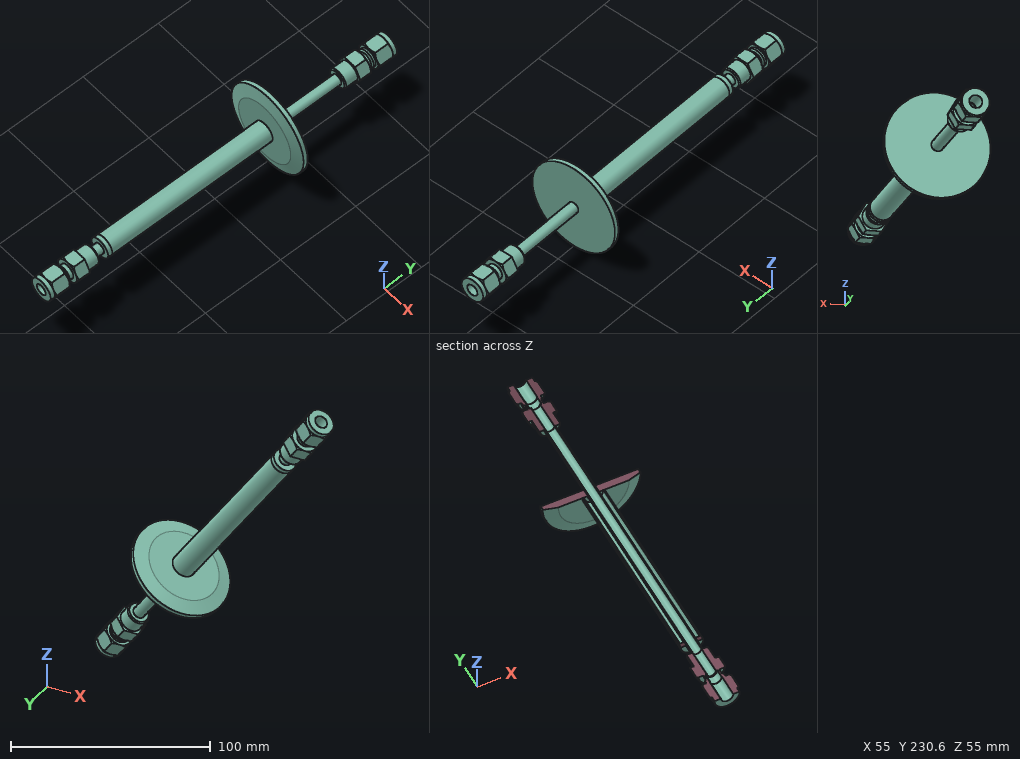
import cadquery as cq
import math

overall_length = 230.6

tube_diameter = 6.5
bore_diameter = 4.8

hex_across_flats = 14.3
collar_length = 2.8
nut_hex_length = 10.0
thread_length = 1.4
thread_taper_length = 1.0
neck_length = 2.5
body_hex_length = 7.8
weld_end_length = 8.3
weld_end_chamfer = 0.7
thread_diameter = 11.0
neck_diameter = 9.0
weld_end_diameter = 12.2
nut_bore_diameter = 6.7
hex_chamfer_angle = 35.0

flange_diameter = 55.0
flange_face_diameter = 39.7
flange_rim_thickness = 2.8
flange_thickness = 4.8
flange_back_inset = 77.3

sleeve_diameter = 12.7
sleeve_bore_diameter = 10.8
cap_thickness = 2.8
cap_inset = 39.0

open_end_y = -overall_length / 2
nut_hex_y = open_end_y + collar_length
nut_end_y = nut_hex_y + nut_hex_length
thread_end_y = nut_end_y + thread_length
neck_y = thread_end_y + thread_taper_length
body_hex_y = neck_y + neck_length
body_hex_end_y = body_hex_y + body_hex_length
weld_end_y = body_hex_end_y + weld_end_length
flange_back_y = overall_length / 2 - flange_back_inset
flange_front_y = flange_back_y - flange_thickness
cap_front_y = open_end_y + cap_inset
sleeve_front_y = cap_front_y + cap_thickness


def cylinder(diameter, start_y, end_y):
    """Solid cylinder on the Y axis."""
    plane = cq.Workplane("XZ", origin=(0, end_y, 0))
    return plane.circle(diameter / 2).extrude(end_y - start_y)


def ring(outer_diameter, inner_diameter, start_y, end_y):
    """Hollow cylinder on the Y axis."""
    return cylinder(outer_diameter, start_y, end_y).cut(cylinder(inner_diameter, start_y, end_y))


def revolved(points):
    """Solid of revolution about Y from (radius, y) points."""
    return cq.Workplane("XY").polyline(points).close().revolve(360, (0, 0, 0), (0, 1, 0))


def hexagon(start_y, end_y, chamfer_far_end):
    """Hexagon with corners on X; the corners are chamfered at the start and, if asked, at the far end."""
    flat_radius = hex_across_flats / 2
    corner_radius = flat_radius / math.cos(math.pi / 6)
    chamfer_depth = (corner_radius - flat_radius) * math.tan(math.radians(hex_chamfer_angle))
    prism = (
        cq.Workplane("XZ", origin=(0, end_y, 0))
        .polygon(6, 2 * corner_radius)
        .extrude(end_y - start_y)
    )
    envelope = [(0, start_y), (flat_radius, start_y), (corner_radius, start_y + chamfer_depth)]
    if chamfer_far_end:
        envelope += [(corner_radius, end_y - chamfer_depth), (flat_radius, end_y)]
    else:
        envelope += [(corner_radius, end_y)]
    envelope += [(0, end_y)]
    return prism.intersect(revolved(envelope))


def make_fitting():
    """Tube fitting with its open end at -Y and its weld end facing the middle."""
    collar_radius = hex_across_flats / 2
    thread_radius = thread_diameter / 2
    neck_radius = neck_diameter / 2
    weld_end_radius = weld_end_diameter / 2
    turned_core = revolved([
        (0, open_end_y),
        (collar_radius, open_end_y),
        (collar_radius, nut_hex_y),
        (thread_radius, nut_hex_y),
        (thread_radius, thread_end_y),
        (neck_radius, neck_y),
        (neck_radius, body_hex_end_y),
        (weld_end_radius, body_hex_end_y),
        (weld_end_radius, weld_end_y - weld_end_chamfer),
        (weld_end_radius - weld_end_chamfer, weld_end_y),
        (0, weld_end_y),
    ])
    nut_hex = hexagon(nut_hex_y, nut_end_y, chamfer_far_end=True)
    body_hex = hexagon(body_hex_y, body_hex_end_y, chamfer_far_end=False)
    nut_bore = cylinder(nut_bore_diameter, open_end_y, nut_end_y)
    tube_socket = cylinder(tube_diameter, open_end_y, body_hex_y)
    bore = cylinder(bore_diameter, open_end_y, weld_end_y)
    outside = turned_core.union(nut_hex).union(body_hex)
    return outside.cut(nut_bore).cut(tube_socket).cut(bore)


def make_flange():
    """Clamping flange with a centre hole for the tube."""
    disc = revolved([
        (0, flange_back_y),
        (flange_diameter / 2, flange_back_y),
        (flange_diameter / 2, flange_back_y - flange_rim_thickness),
        (flange_face_diameter / 2, flange_front_y),
        (0, flange_front_y),
    ])
    return disc.cut(cylinder(tube_diameter, flange_front_y, flange_back_y))


fittings = [make_fitting().rotate((0, 0, 0), (0, 0, 1), turn) for turn in (0, 180)]
tube = ring(tube_diameter, bore_diameter, weld_end_y, -weld_end_y)
flange = make_flange()
sleeve = ring(sleeve_diameter, sleeve_bore_diameter, sleeve_front_y, flange_front_y)
cap = ring(sleeve_diameter, tube_diameter, cap_front_y, sleeve_front_y)

result = cq.Compound.makeCompound([
    *[fitting.val() for fitting in fittings],
    tube.val(),
    flange.val(),
    sleeve.val(),
    cap.val(),
])